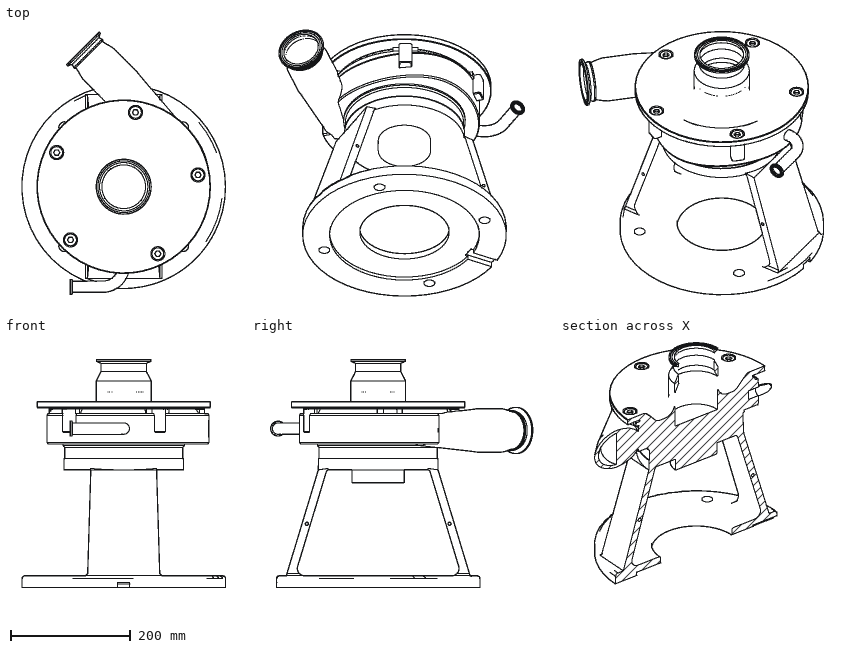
import cadquery as cq
import math

BASE_RADIUS = 170.0
BASE_THICKNESS = 20.0
BASE_BORE_RADIUS = 74.5
BASE_EDGE_FILLET = 5.0
BASE_HOLE_DIAMETER = 18.0
BASE_HOLE_CIRCLE_RADIUS = 140.0
BASE_HOLE_COUNT = 4
FIRST_BASE_HOLE_ANGLE = 45.0
NOTCH_WIDTH = 20.0
NOTCH_HEIGHT = 8.8
NOTCH_OVERLAP = 5.0
UNDERSIDE_RECESS_RADIUS = 125.0
UNDERSIDE_RECESS_DEPTH = 6.2

LEG_OUTER_TOP_Y = 100.0
LEG_OUTER_FOOT_Y = 153.5
LEG_THICKNESS_Y = 14.6
LEG_FOOT_HALF_WIDTH = 60.3
LEG_TOP_HALF_WIDTH = 55.0
LEG_TOP_Z = 199.0
LEG_TOP_BEVEL_RUN = 17.0
LEG_FOOT_FILLET = 12.0
LEG_FOOT_FLARE = 3.5
LEG_TOP_FILLET = 4.0
LEG_HOLE_DIAMETER = 5.0
LEG_HOLE_Y = 119.0
LEG_HOLE_Z = 106.5

SPIGOT_RADIUS = 43.8
SPIGOT_BOTTOM_Z = 175.0
SPIGOT_FILLET = 1.5
ADAPTER_RADIUS = 100.0
ADAPTER_BOTTOM_Z = 196.5
ADAPTER_STEP_Z = 215.5
NECK_RADIUS = 98.8
NECK_TAPER_BOTTOM_Z = 234.0
NECK_TAPER_TOP_Z = 236.8
NECK_TOP_RADIUS = 101.5

VOLUTE_BOTTOM_Z = 239.6
VOLUTE_TOP_Z = 290.5
VOLUTE_CHAMFER_HEIGHT = 3.0
VOLUTE_CHAMFER_INSET = 1.5
VOLUTE_STATIONS = [
    (45, 120.0),
    (90, 122.3),
    (180, 128.0),
    (270, 131.0),
    (315, 134.8),
    (360, 142.0),
    (405, 143.0),
]
COLLAR_BOTTOM_RADIUS = 125.0
COLLAR_TOP_RADIUS = 121.0
COLLAR_TOP_Z = 297.8
COVER_PLUG_RADIUS = 119.0

COVER_RADIUS = 144.8
COVER_TOP_Z = 310.5
COVER_THICKNESS = 10.4
COVER_CHAMFER = 1.0
DISH_RIM_RADIUS = 110.0
DISH_RIM_FILLET = 5.7
DISH_FLOOR_RADIUS = 76.3
DISH_CORNER_RADIUS = 14.5
DISH_SLOPE = math.radians(45)
DISH_NECK_FILLET = 20.0

BOLT_COUNT = 5
FIRST_BOLT_ANGLE = 9.0
BOLT_CIRCLE_RADIUS = 125.5
COUNTERBORE_RADIUS = 11.8
BOLT_HEAD_RADIUS = 9.8
BOLT_HEAD_RECESS = 1.0
COUNTERBORE_DEPTH = 6.0
SOCKET_ACROSS_CORNERS = 10.5
SOCKET_DEPTH = 4.0
SOCKET_TIP_DEPTH = 2.5
SOCKET_TIP_RADIUS = 4.5
LUG_WIDTH = 22.0
LUG_OUTER_RADIUS = 135.5
LUG_INNER_RADIUS = 105.0
LUG_BOTTOM_Z = 259.2
LUG_SIDE_FILLET = 4.0
LUG_PAD_WIDTH = 42.0
LUG_PAD_OUTER_RADIUS = 125.0
LUG_BOTTOM_CHAMFER = 1.5

TOTAL_HEIGHT = 380.5
SUCTION_RADIUS = 46.0
SUCTION_CONE_BOTTOM_Z = 345.0
SUCTION_CONE_TOP_Z = 360.5
SUCTION_NECK_RADIUS = 38.05
SUCTION_FLANGE_RADIUS = 45.5
SUCTION_BORE_RADIUS = 36.5
SUCTION_FLARE_Z = 342.0
SUCTION_CHAMBER_RADIUS = 44.0
SUCTION_FLOOR_Z = 262.0

FERRULE_RIM = 2.85
FERRULE_TAPER = 3.5
FERRULE_GROOVE_RADIUS = 1.4
FERRULE_GROOVE_INSET = 3.8

OUTLET_ANGLE = 135.0
OUTLET_OFFSET = 115.0
OUTLET_Z = 262.3
OUTLET_CONE_START = -15.0
OUTLET_CONE_START_RADIUS = 25.4
OUTLET_CONE_END = 118.5
OUTLET_CONE_END_RADIUS = 36.1
OUTLET_PIPE_START = 119.5
OUTLET_PIPE_RADIUS = 36.4
OUTLET_PIPE_END = 174.6
OUTLET_SHOULDER = 182.8
OUTLET_SHOULDER_RADIUS = 34.8
OUTLET_NECK_START = 194.0
OUTLET_NECK_RADIUS = 31.75
OUTLET_BEAD_START = 197.0
OUTLET_BEAD_END = 199.5
OUTLET_BEAD_RADIUS = 33.6
OUTLET_LENGTH = 211.3
OUTLET_FLANGE_RADIUS = 38.75
OUTLET_BORE_RADIUS = 30.1

DRAIN_Z = 265.4
DRAIN_RADIUS = 9.5
DRAIN_BORE_RADIUS = 7.9
DRAIN_BEND_RADIUS = 35.0
DRAIN_AXIS_Y = -167.0
DRAIN_END_X = -89.4
DRAIN_FLANGE_RADIUS = 12.5
DRAIN_FLANGE_THICKNESS = 2.85
DRAIN_FLANGE_TAPER = 1.5
DRAIN_GROOVE_RADIUS = 0.8
DRAIN_GROOVE_INSET = 2.2
DRAIN_ROOT_Y = -110.0

COVER_BOTTOM_Z = COVER_TOP_Z - COVER_THICKNESS


def polar(radius, angle_deg):
    angle = math.radians(angle_deg)
    return radius * math.cos(angle), radius * math.sin(angle)


def revolve_about_z(profile):
    """Revolve a closed (radius, z) profile drawn on the XZ plane about the Z axis."""
    return profile.close().revolve(360, (0, 0, 0), (0, 1, 0))


def cylinder_z(radius, bottom_z, top_z):
    return cq.Workplane("XY").workplane(offset=bottom_z).circle(radius).extrude(top_z - bottom_z)


def bolt_angles():
    return [FIRST_BOLT_ANGLE + i * 360.0 / BOLT_COUNT for i in range(BOLT_COUNT)]


def make_base():
    base = cq.Workplane("XY").circle(BASE_RADIUS).circle(BASE_BORE_RADIUS).extrude(BASE_THICKNESS)
    base = base.faces(">Z").edges().fillet(BASE_EDGE_FILLET)
    holes = (
        cq.Workplane("XY")
        .polarArray(BASE_HOLE_CIRCLE_RADIUS, FIRST_BASE_HOLE_ANGLE, 360, BASE_HOLE_COUNT)
        .circle(BASE_HOLE_DIAMETER / 2)
        .extrude(BASE_THICKNESS)
    )
    recess = cq.Workplane("XY").circle(UNDERSIDE_RECESS_RADIUS).extrude(UNDERSIDE_RECESS_DEPTH)
    notch_length = BASE_RADIUS - UNDERSIDE_RECESS_RADIUS
    notch = (
        cq.Workplane("XY")
        .box(NOTCH_WIDTH, notch_length + NOTCH_OVERLAP, NOTCH_HEIGHT, centered=(True, False, False))
        .translate((0, -BASE_RADIUS, 0))
    )
    return base.cut(holes).cut(recess).cut(notch)


def make_leg():
    """Leg on the +Y side: a leaning side profile crossed with a tapering front outline."""
    lean = (LEG_OUTER_FOOT_Y - LEG_OUTER_TOP_Y) / (ADAPTER_BOTTOM_Z - BASE_THICKNESS)

    def outer_y(z):
        return LEG_OUTER_TOP_Y + lean * (ADAPTER_BOTTOM_Z - z)

    def inner_y(z):
        return outer_y(z) - LEG_THICKNESS_Y

    angle = math.atan(lean)
    foot_run = LEG_FOOT_FILLET * math.tan((math.pi / 2 + angle) / 2)
    foot_end_z = BASE_THICKNESS + foot_run * math.cos(angle)
    foot_end_y = inner_y(BASE_THICKNESS) - foot_run
    top_run = LEG_TOP_FILLET * math.tan((math.pi / 2 - angle) / 2)
    top_end_z = ADAPTER_BOTTOM_Z - top_run * math.cos(angle)
    top_end_y = inner_y(ADAPTER_BOTTOM_Z) - top_run
    side = (
        cq.Workplane("YZ")
        .moveTo(outer_y(BASE_THICKNESS), BASE_THICKNESS)
        .lineTo(LEG_OUTER_TOP_Y, ADAPTER_BOTTOM_Z)
        .lineTo(LEG_OUTER_TOP_Y - LEG_TOP_BEVEL_RUN, LEG_TOP_Z)
        .lineTo(top_end_y, LEG_TOP_Z)
        .lineTo(top_end_y, ADAPTER_BOTTOM_Z)
        .radiusArc((inner_y(top_end_z), top_end_z), LEG_TOP_FILLET)
        .lineTo(inner_y(foot_end_z), foot_end_z)
        .radiusArc((foot_end_y, BASE_THICKNESS), LEG_FOOT_FILLET)
        .close()
        .extrude(BASE_RADIUS, both=True)
    )
    flare_half_width = LEG_FOOT_HALF_WIDTH + LEG_FOOT_FLARE
    right_edge = [
        (flare_half_width, BASE_THICKNESS),
        (LEG_FOOT_HALF_WIDTH, BASE_THICKNESS + LEG_FOOT_FLARE),
        (LEG_TOP_HALF_WIDTH, LEG_TOP_Z),
    ]
    left_edge = [(-x, z) for x, z in reversed(right_edge)]
    front = cq.Workplane("XZ").polyline(right_edge + left_edge).close().extrude(-BASE_RADIUS)
    hole = (
        cq.Workplane("YZ")
        .center(LEG_HOLE_Y, LEG_HOLE_Z)
        .circle(LEG_HOLE_DIAMETER / 2)
        .extrude(LEG_FOOT_HALF_WIDTH, both=True)
    )
    return side.intersect(front).cut(hole)


def make_adapter():
    profile = (
        cq.Workplane("XZ")
        .moveTo(0, ADAPTER_BOTTOM_Z)
        .lineTo(ADAPTER_RADIUS, ADAPTER_BOTTOM_Z)
        .lineTo(ADAPTER_RADIUS, ADAPTER_STEP_Z)
        .lineTo(NECK_RADIUS, ADAPTER_STEP_Z)
        .lineTo(NECK_RADIUS, NECK_TAPER_BOTTOM_Z)
        .lineTo(NECK_TOP_RADIUS, NECK_TAPER_TOP_Z)
        .lineTo(NECK_TOP_RADIUS, VOLUTE_BOTTOM_Z)
        .lineTo(0, VOLUTE_BOTTOM_Z)
    )
    spigot = cylinder_z(SPIGOT_RADIUS, SPIGOT_BOTTOM_Z, ADAPTER_BOTTOM_Z)
    spigot = spigot.faces("<Z").edges().fillet(SPIGOT_FILLET)
    return revolve_about_z(profile).union(spigot)


def make_volute():
    points = [polar(radius, angle) for angle, radius in VOLUTE_STATIONS]
    volute = (
        cq.Workplane("XY")
        .workplane(offset=VOLUTE_BOTTOM_Z)
        .moveTo(*points[0])
        .spline(points[1:], includeCurrent=True)
        .close()
        .extrude(VOLUTE_TOP_Z - VOLUTE_BOTTOM_Z)
        .faces("<Z or >Z")
        .edges()
        .chamfer(VOLUTE_CHAMFER_HEIGHT, VOLUTE_CHAMFER_INSET)
    )
    collar = revolve_about_z(
        cq.Workplane("XZ")
        .moveTo(0, VOLUTE_TOP_Z)
        .lineTo(COLLAR_BOTTOM_RADIUS, VOLUTE_TOP_Z)
        .lineTo(COLLAR_TOP_RADIUS, COLLAR_TOP_Z)
        .lineTo(COVER_PLUG_RADIUS, COLLAR_TOP_Z)
        .lineTo(COVER_PLUG_RADIUS, COVER_BOTTOM_Z)
        .lineTo(0, COVER_BOTTOM_Z)
    )
    return volute.union(collar)


def make_lug(angle):
    """Bolt lug on the side of the casing, with a wider pad where it meets the collar."""
    length = LUG_OUTER_RADIUS - LUG_INNER_RADIUS
    lug = (
        cq.Workplane("XY")
        .box(length, LUG_WIDTH, COLLAR_TOP_Z - LUG_BOTTOM_Z, centered=(False, True, False))
        .edges("|Z and >X")
        .fillet(LUG_SIDE_FILLET)
        .faces("<Z")
        .edges("not <X")
        .chamfer(LUG_BOTTOM_CHAMFER)
    )
    lug = lug.translate((LUG_INNER_RADIUS, 0, LUG_BOTTOM_Z))
    pad_length = LUG_PAD_OUTER_RADIUS - LUG_INNER_RADIUS
    pad = (
        cq.Workplane("XY")
        .box(pad_length, LUG_PAD_WIDTH, COLLAR_TOP_Z - VOLUTE_TOP_Z, centered=(False, True, False))
        .translate((LUG_INNER_RADIUS, 0, VOLUTE_TOP_Z))
    )
    return lug.union(pad).rotate((0, 0, 0), (0, 0, 1), angle)


def make_cover():
    cover = cylinder_z(COVER_RADIUS, COVER_BOTTOM_Z, COVER_TOP_Z)
    return cover.edges().chamfer(COVER_CHAMFER)


def make_dish_cut():
    """Ring-shaped hollow around the suction connection, rounded into floor, wall and rim."""
    rim_start_radius = DISH_RIM_RADIUS - DISH_RIM_FILLET * math.sin(DISH_SLOPE)
    rim_start_z = COVER_TOP_Z - DISH_RIM_FILLET * (1 - math.cos(DISH_SLOPE))
    corner_end_radius = DISH_FLOOR_RADIUS + DISH_CORNER_RADIUS * math.sin(DISH_SLOPE)
    corner_end_z = rim_start_z - (rim_start_radius - corner_end_radius) * math.tan(DISH_SLOPE)
    floor_z = corner_end_z - DISH_CORNER_RADIUS * (1 - math.cos(DISH_SLOPE))
    profile = (
        cq.Workplane("XZ")
        .moveTo(SUCTION_RADIUS, COVER_TOP_Z)
        .lineTo(SUCTION_RADIUS, floor_z + DISH_NECK_FILLET)
        .radiusArc((SUCTION_RADIUS + DISH_NECK_FILLET, floor_z), -DISH_NECK_FILLET)
        .lineTo(DISH_FLOOR_RADIUS, floor_z)
        .radiusArc((corner_end_radius, corner_end_z), -DISH_CORNER_RADIUS)
        .lineTo(rim_start_radius, rim_start_z)
        .radiusArc((DISH_RIM_RADIUS, COVER_TOP_Z), DISH_RIM_FILLET)
    )
    return revolve_about_z(profile)


def make_bolt_recess(angle):
    """Annular gap around the sunk bolt head, plus its cone-ended hexagon socket."""
    head_z = COVER_TOP_Z - BOLT_HEAD_RECESS
    recess = cylinder_z(COUNTERBORE_RADIUS, COVER_TOP_Z - COUNTERBORE_DEPTH, COVER_TOP_Z)
    recess = recess.cut(cylinder_z(BOLT_HEAD_RADIUS, COVER_TOP_Z - COUNTERBORE_DEPTH, head_z))
    socket = (
        cq.Workplane("XY")
        .workplane(offset=head_z - SOCKET_DEPTH)
        .polygon(6, SOCKET_ACROSS_CORNERS)
        .extrude(SOCKET_DEPTH)
    )
    tip_z = head_z - SOCKET_DEPTH
    tip = cq.Workplane(
        cq.Solid.makeCone(
            SOCKET_TIP_RADIUS, 0, SOCKET_TIP_DEPTH, pnt=cq.Vector(0, 0, tip_z), dir=cq.Vector(0, 0, -1)
        )
    )
    return recess.union(socket).union(tip).translate((*polar(BOLT_CIRCLE_RADIUS, angle), 0))


def ferrule_groove(flange_radius, face_z):
    """Half-round gasket groove in the face of a clamp ferrule."""
    groove = cq.Solid.makeTorus(flange_radius - FERRULE_GROOVE_INSET, FERRULE_GROOVE_RADIUS)
    return cq.Workplane(groove).translate((0, 0, face_z))


def make_suction():
    rim_z = TOTAL_HEIGHT - FERRULE_RIM
    profile = (
        cq.Workplane("XZ")
        .moveTo(0, COVER_BOTTOM_Z)
        .lineTo(SUCTION_RADIUS, COVER_BOTTOM_Z)
        .lineTo(SUCTION_RADIUS, SUCTION_CONE_BOTTOM_Z)
        .lineTo(SUCTION_NECK_RADIUS, SUCTION_CONE_TOP_Z)
        .lineTo(SUCTION_NECK_RADIUS, rim_z - FERRULE_TAPER)
        .lineTo(SUCTION_FLANGE_RADIUS, rim_z)
        .lineTo(SUCTION_FLANGE_RADIUS, TOTAL_HEIGHT)
        .lineTo(0, TOTAL_HEIGHT)
    )
    return revolve_about_z(profile).cut(ferrule_groove(SUCTION_FLANGE_RADIUS, TOTAL_HEIGHT))


def make_suction_bore():
    flare_bottom_z = SUCTION_FLARE_Z - (SUCTION_CONE_TOP_Z - SUCTION_CONE_BOTTOM_Z)
    profile = (
        cq.Workplane("XZ")
        .moveTo(0, SUCTION_FLOOR_Z)
        .lineTo(SUCTION_CHAMBER_RADIUS, SUCTION_FLOOR_Z)
        .lineTo(SUCTION_CHAMBER_RADIUS, flare_bottom_z)
        .lineTo(SUCTION_BORE_RADIUS, SUCTION_FLARE_Z)
        .lineTo(SUCTION_BORE_RADIUS, TOTAL_HEIGHT)
        .lineTo(0, TOTAL_HEIGHT)
    )
    return revolve_about_z(profile)


def place_outlet(body):
    """Move a body built along +Z onto the discharge axis."""
    body = body.rotate((0, 0, 0), (0, 1, 0), 90).translate((0, -OUTLET_OFFSET, OUTLET_Z))
    return body.rotate((0, 0, 0), (0, 0, 1), OUTLET_ANGLE)


def make_outlet():
    rim_start = OUTLET_LENGTH - FERRULE_RIM
    profile = (
        cq.Workplane("XZ")
        .moveTo(0, OUTLET_CONE_START)
        .lineTo(OUTLET_CONE_START_RADIUS, OUTLET_CONE_START)
        .lineTo(OUTLET_CONE_END_RADIUS, OUTLET_CONE_END)
        .lineTo(OUTLET_PIPE_RADIUS, OUTLET_PIPE_START)
        .lineTo(OUTLET_PIPE_RADIUS, OUTLET_PIPE_END)
        .lineTo(OUTLET_SHOULDER_RADIUS, OUTLET_SHOULDER)
        .lineTo(OUTLET_NECK_RADIUS, OUTLET_NECK_START)
        .lineTo(OUTLET_NECK_RADIUS, OUTLET_BEAD_START)
        .lineTo(OUTLET_BEAD_RADIUS, OUTLET_BEAD_START)
        .lineTo(OUTLET_BEAD_RADIUS, OUTLET_BEAD_END)
        .lineTo(OUTLET_NECK_RADIUS, rim_start - FERRULE_TAPER)
        .lineTo(OUTLET_FLANGE_RADIUS, rim_start)
        .lineTo(OUTLET_FLANGE_RADIUS, OUTLET_LENGTH)
        .lineTo(0, OUTLET_LENGTH)
    )
    pipe = revolve_about_z(profile).cut(ferrule_groove(OUTLET_FLANGE_RADIUS, OUTLET_LENGTH))
    return place_outlet(pipe)


def make_outlet_bore():
    return place_outlet(cylinder_z(OUTLET_BORE_RADIUS, OUTLET_CONE_END, OUTLET_LENGTH))


def drain_sweep(radius):
    """Round bar along the drain axis, from its open end to its root in the casing."""
    bend_start_x = -DRAIN_BEND_RADIUS
    bend_end_y = DRAIN_AXIS_Y + DRAIN_BEND_RADIUS
    path = (
        cq.Workplane("XY")
        .workplane(offset=DRAIN_Z)
        .moveTo(DRAIN_END_X, DRAIN_AXIS_Y)
        .lineTo(bend_start_x, DRAIN_AXIS_Y)
        .radiusArc((0, bend_end_y), -DRAIN_BEND_RADIUS)
        .lineTo(0, DRAIN_ROOT_Y)
    )
    section = cq.Workplane("YZ", origin=(DRAIN_END_X, DRAIN_AXIS_Y, DRAIN_Z)).circle(radius)
    return section.sweep(path)


def make_drain():
    flange = (
        cq.Workplane("YZ", origin=(DRAIN_END_X, DRAIN_AXIS_Y, DRAIN_Z))
        .circle(DRAIN_FLANGE_RADIUS)
        .extrude(DRAIN_FLANGE_THICKNESS + DRAIN_FLANGE_TAPER)
        .faces(">X")
        .edges()
        .chamfer(DRAIN_FLANGE_TAPER, DRAIN_FLANGE_RADIUS - DRAIN_RADIUS)
    )
    groove = cq.Solid.makeTorus(
        DRAIN_FLANGE_RADIUS - DRAIN_GROOVE_INSET,
        DRAIN_GROOVE_RADIUS,
        cq.Vector(DRAIN_END_X, DRAIN_AXIS_Y, DRAIN_Z),
        cq.Vector(1, 0, 0),
    )
    return drain_sweep(DRAIN_RADIUS).union(flange).cut(cq.Workplane(groove))


leg = make_leg()

result = make_base().union(leg).union(leg.mirror("XZ")).union(make_adapter()).union(make_volute())
result = result.union(make_cover())
for bolt_angle in bolt_angles():
    result = result.union(make_lug(bolt_angle))
result = result.cut(make_dish_cut())
result = result.union(make_outlet()).union(make_suction()).union(make_drain())
for bolt_angle in bolt_angles():
    result = result.cut(make_bolt_recess(bolt_angle))
result = result.cut(make_suction_bore()).cut(make_outlet_bore())
result = result.cut(drain_sweep(DRAIN_BORE_RADIUS))